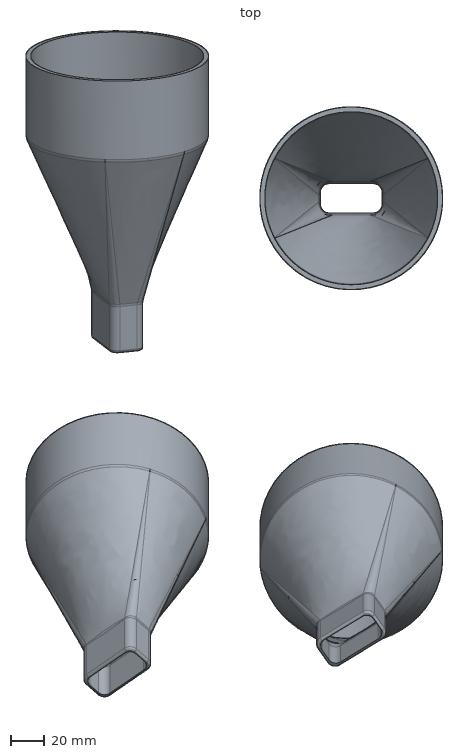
import cadquery as cq
import math

SOCKET_RADIUS = 55.0
SOCKET_WALL = 3.0
SPOUT_LENGTH = 40.5
SPOUT_WIDTH = 21.0
SPOUT_WALL = 1.75
SPOUT_CORNER_RADIUS = 5.0
SPOUT_HEIGHT = 30.0
TAPER_HEIGHT = 100.0
SOCKET_HEIGHT = 50.0
TAPER_TOP = SPOUT_HEIGHT + TAPER_HEIGHT

THROAT_BOTTOM = 26.5
THROAT_TOP = 33.5
THROAT_LENGTH = 39.2
THROAT_WIDTH = 20.4
THROAT_CORNER_RADIUS = 8.0

SOCKET_BEND_RADIUS = 5.0
SPOUT_BEND_RADIUS = 5.0
SPOUT_TIP_RADIUS = 1.7

CORNER_ARC_ANGLE = math.radians(0.2)

CORNER_DIRECTION = math.atan2(SPOUT_WIDTH, SPOUT_LENGTH)


def polar_point(radius, angle):
    return (radius * math.cos(angle), radius * math.sin(angle))


def rounded_rectangle(length, width, corner_radius, z):
    """Rounded rectangle wire, starting at the lower end of the +X side."""
    flat_x = length / 2 - corner_radius
    flat_y = width / 2 - corner_radius
    diagonal = corner_radius * math.sqrt(0.5)
    return (
        cq.Workplane("XY", origin=(0, 0, z))
        .moveTo(length / 2, -flat_y)
        .lineTo(length / 2, flat_y)
        .threePointArc((flat_x + diagonal, flat_y + diagonal), (flat_x, width / 2))
        .lineTo(-flat_x, width / 2)
        .threePointArc((-flat_x - diagonal, flat_y + diagonal), (-length / 2, flat_y))
        .lineTo(-length / 2, -flat_y)
        .threePointArc((-flat_x - diagonal, -flat_y - diagonal), (-flat_x, -width / 2))
        .lineTo(flat_x, -width / 2)
        .threePointArc((flat_x + diagonal, -flat_y - diagonal), (length / 2, -flat_y))
        .close()
        .val()
    )


def split_circle(radius, z):
    """Circle wire cut into eight arcs that pair with the rounded rectangle edges."""
    corner_angles = [
        CORNER_DIRECTION,
        math.pi - CORNER_DIRECTION,
        math.pi + CORNER_DIRECTION,
        2 * math.pi - CORNER_DIRECTION,
    ]
    half_arc = CORNER_ARC_ANGLE / 2
    start_angle = half_arc - CORNER_DIRECTION
    circle = cq.Workplane("XY", origin=(0, 0, z)).moveTo(*polar_point(radius, start_angle))
    for corner_angle in corner_angles:
        side_end = corner_angle - half_arc
        corner_end = corner_angle + half_arc
        circle = circle.threePointArc(
            polar_point(radius, (start_angle + side_end) / 2),
            polar_point(radius, side_end),
        )
        circle = circle.threePointArc(
            polar_point(radius, corner_angle),
            polar_point(radius, corner_end),
        )
        start_angle = corner_end
    return circle.wire().val()


def funnel_body(radius, spout_sections):
    """Solid funnel: ruled spout and taper through the sections, then the round socket."""
    taper_top = split_circle(radius, TAPER_TOP)
    spout_and_taper = cq.Workplane(cq.Solid.makeLoft([*spout_sections, taper_top], True))
    socket = cq.Workplane("XY", origin=(0, 0, TAPER_TOP)).circle(radius).extrude(SOCKET_HEIGHT)
    return spout_and_taper.union(socket)


def edges_at_height(body, z):
    margin = 0.01
    reach = 2 * SOCKET_RADIUS
    return body.edges(
        cq.selectors.BoxSelector((-reach, -reach, z - margin), (reach, reach, z + margin), boundingbox=True)
    )


def make_outer_body():
    sections = [
        rounded_rectangle(SPOUT_LENGTH, SPOUT_WIDTH, SPOUT_CORNER_RADIUS, z)
        for z in (0, SPOUT_HEIGHT)
    ]
    body = funnel_body(SOCKET_RADIUS, sections)
    body = edges_at_height(body, SPOUT_HEIGHT).fillet(SPOUT_BEND_RADIUS)
    body = edges_at_height(body, TAPER_TOP).fillet(SOCKET_BEND_RADIUS)
    return body.faces("<Z").edges().fillet(SPOUT_TIP_RADIUS)


def make_cavity():
    bore_length = SPOUT_LENGTH - 2 * SPOUT_WALL
    bore_width = SPOUT_WIDTH - 2 * SPOUT_WALL
    sections = [
        rounded_rectangle(bore_length, bore_width, SPOUT_CORNER_RADIUS, z)
        for z in (0, THROAT_BOTTOM)
    ]
    sections.append(
        rounded_rectangle(THROAT_LENGTH, THROAT_WIDTH, THROAT_CORNER_RADIUS, THROAT_TOP)
    )
    body = funnel_body(SOCKET_RADIUS - SOCKET_WALL, sections)
    return edges_at_height(body, TAPER_TOP).fillet(SOCKET_BEND_RADIUS)


result = make_outer_body().cut(make_cavity())